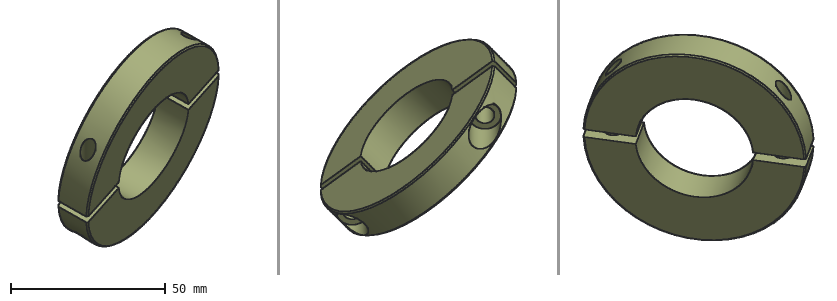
import cadquery as cq

outer_diameter = 74.0
bore_diameter = 39.0
width = 12.0
split_gap = 3.0
edge_chamfer = 0.5

screw_offset = 28.2
thread_diameter = 5.0
clearance_diameter = 6.2
head_diameter = 10.5
head_seat_z = -15.7

outer_radius = outer_diameter / 2


def half_ring(side):
    """Half of the chamfered ring: side is +1 above the split, -1 below it."""
    ring = (
        cq.Workplane("YZ")
        .circle(outer_radius)
        .extrude(width / 2, both=True)
        .edges("%CIRCLE")
        .chamfer(edge_chamfer)
    )
    bore = cq.Workplane("YZ").circle(bore_diameter / 2).extrude(width / 2, both=True)
    half_space = cq.Workplane("XY").box(
        width, outer_diameter, outer_radius, centered=(True, True, False)
    )
    if side < 0:
        half_space = half_space.translate((0, 0, -outer_radius))
    half_space = half_space.translate((0, 0, side * split_gap / 2))
    return ring.cut(bore).intersect(half_space)


def screw_holes(diameter, start_z, end_z):
    """Pair of vertical cylinders on the screw axes."""
    return (
        cq.Workplane("XY", origin=(0, 0, start_z))
        .pushPoints([(0, -screw_offset), (0, screw_offset)])
        .circle(diameter / 2)
        .extrude(end_z - start_z)
    )


def make_threaded_half():
    """Upper half with a plain hole through it for each screw thread."""
    return half_ring(1).cut(screw_holes(thread_diameter, 0, outer_radius))


def make_head_half():
    """Lower half with clearance holes and counterbores for the screw heads."""
    clearance = screw_holes(clearance_diameter, -outer_radius, 0)
    counterbores = screw_holes(head_diameter, -outer_radius, head_seat_z)
    return half_ring(-1).cut(clearance).cut(counterbores)


threaded_half = make_threaded_half()
head_half = make_head_half()

result = cq.Compound.makeCompound([threaded_half.val(), head_half.val()])